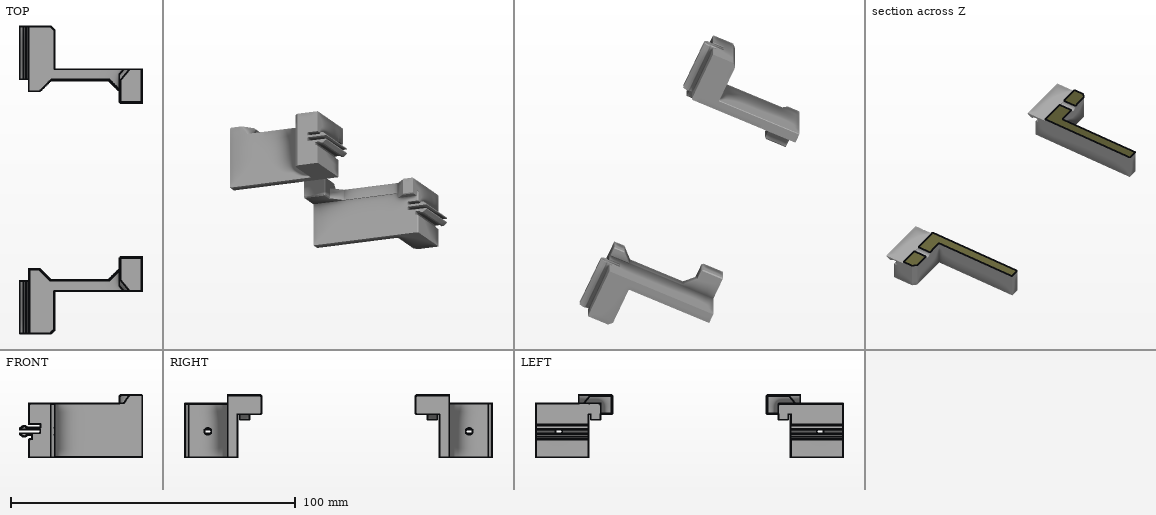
import cadquery as cq


SPAN = 107.9
ARM_END = 39.9
BLOCK_TOP = 19.0
HOOK_TOP = 22.0

BLOCK_DEPTH = 9.1
BLOCK_WIDTH = 18.6
BACK_CORNER = 1.3
WEB_OUTER = 15.0

PLATE_BOTTOM = 15.1
PLATE_INNER = 19.0
PLATE_EDGE = 0.4
GUSSET_SIZE = 3.8
LIP_INNER = 22.8
LIP_FLAT = 3.9
LIP_BOTTOM = 13.2
LIP_GAP = 0.6

HOOK_START = 31.8
HOOK_INNER = 27.0
HOOK_CHAMFER = 0.5
HOOK_EDGE = 0.4
CORNER_LEG_X = 3.6
CORNER_LEG_Y = 4.3
CORNER_SHRINK = 0.42

TONGUE_MID = 9.2
TONGUE_REACH = 3.2
SLOT_DEPTH = 4.0
SLOT_HEIGHT = 1.3
SLOT_FILLET = 0.2
PRONG_THICKNESS = 0.8
TIP_THICKNESS = 0.3
BARB_HEIGHT = 0.5
BARB_RAMP = 1.3
BARB_CREST = 0.8
UPPER_GAP_TOP = 11.7
LOWER_GAP_BOTTOM = 6.6
LOWER_GAP_DEPTH = 1.1
LOWER_GAP_CHAMFER = 0.3

HOLE_OFFSET = 8.1
HOLE_DIAMETER = 2.4

BLOCK_EDGE = 0.3
END_EDGE = 0.2

SLOT_LOW = TONGUE_MID - SLOT_HEIGHT / 2
SLOT_HIGH = TONGUE_MID + SLOT_HEIGHT / 2
FLANK_RUN = LIP_INNER - PLATE_INNER
MARGIN = 0.05


def slab(outline, z_low, z_high):
    """Upright prism on an XY outline."""
    return cq.Workplane("XY", origin=(0, 0, z_low)).polyline(outline).close().extrude(z_high - z_low)


def cuboid(x_low, x_high, y_low, y_high, z_low, z_high):
    outline = [(x_low, y_low), (x_high, y_low), (x_high, y_high), (x_low, y_high)]
    return slab(outline, z_low, z_high)


def bar_across_block(profile):
    """Prism on an XZ profile, running along the whole width of the block."""
    return cq.Workplane("XZ").polyline(profile).close().extrude(-BLOCK_WIDTH)


def chamfer_near(body, points, size):
    """Chamfer the edge nearest to each point."""
    edges = [body.edges(cq.selectors.NearestToPointSelector(point)).val() for point in points]
    return body.newObject(edges).chamfer(size)


def make_block_and_web():
    block = cuboid(0, BLOCK_DEPTH, 0, BLOCK_WIDTH, 0, BLOCK_TOP)
    block = chamfer_near(block, [(BLOCK_DEPTH, 0, BLOCK_TOP / 2)], BACK_CORNER)
    web = cuboid(0, ARM_END, WEB_OUTER, BLOCK_WIDTH, 0, BLOCK_TOP)
    return block.union(web)


def make_plate():
    gusset_start = HOOK_START - GUSSET_SIZE
    gusset_inner = PLATE_INNER + GUSSET_SIZE
    plate = slab(
        [
            (0, WEB_OUTER),
            (0, LIP_INNER),
            (LIP_FLAT, LIP_INNER),
            (LIP_FLAT + FLANK_RUN, PLATE_INNER),
            (gusset_start, PLATE_INNER),
            (HOOK_START, gusset_inner),
            (ARM_END, gusset_inner),
            (ARM_END, WEB_OUTER),
        ],
        PLATE_BOTTOM,
        BLOCK_TOP,
    )
    web_edge = ((LIP_FLAT + FLANK_RUN + gusset_start) / 2, PLATE_INNER, BLOCK_TOP)
    gusset_edge = (HOOK_START - GUSSET_SIZE / 2, PLATE_INNER + GUSSET_SIZE / 2, BLOCK_TOP)
    return chamfer_near(plate, [web_edge, gusset_edge], PLATE_EDGE)


def make_lip():
    """Part of the lip that hangs below the plate."""
    lip_outer = BLOCK_WIDTH + LIP_GAP
    flank_end = LIP_FLAT + LIP_INNER - lip_outer
    outline = [(0, lip_outer), (0, LIP_INNER), (LIP_FLAT, LIP_INNER), (flank_end, lip_outer)]
    lip = slab(outline, LIP_BOTTOM, PLATE_BOTTOM)
    return lip.faces("<Z").edges("<Y or >Y").chamfer(BLOCK_EDGE)


def corner_triangle(z, share):
    corner = cq.Vector(HOOK_START, WEB_OUTER, z)
    along_x = corner + cq.Vector(CORNER_LEG_X * share, 0, 0)
    along_y = corner + cq.Vector(0, CORNER_LEG_Y * share, 0)
    return cq.Wire.makePolygon([corner, along_x, along_y], close=True)


def make_hook():
    hook = cuboid(HOOK_START, ARM_END, WEB_OUTER, HOOK_INNER, PLATE_BOTTOM, HOOK_TOP)
    hook = hook.edges("(>X and >Z) or (<X and <Z) or (>Y and <Z)").chamfer(HOOK_EDGE)
    hook = hook.edges("(>Y and >Z and |X) or (>Y and <X) or (<X and >Z)").chamfer(HOOK_CHAMFER)
    base = corner_triangle(BLOCK_TOP, CORNER_SHRINK)
    top = corner_triangle(HOOK_TOP, 1)
    return hook.cut(cq.Workplane(cq.Solid.makeLoft([base, top], True)))


def make_slot():
    slot = cuboid(-TONGUE_REACH, SLOT_DEPTH, 0, BLOCK_WIDTH, SLOT_LOW, SLOT_HIGH)
    return slot.edges("|Y and >X").fillet(SLOT_FILLET)


def make_upper_gap():
    gap = cuboid(0, SLOT_DEPTH, 0, BLOCK_WIDTH, SLOT_HIGH + PRONG_THICKNESS, UPPER_GAP_TOP)
    return gap.edges("|Y and >X").fillet(SLOT_FILLET)


def make_lower_gap():
    """Gap below the lower prong, with a chamfered mouth."""
    gap_top = SLOT_LOW - PRONG_THICKNESS
    return bar_across_block(
        [
            (0, gap_top),
            (LOWER_GAP_DEPTH, gap_top),
            (LOWER_GAP_DEPTH, LOWER_GAP_BOTTOM),
            (LOWER_GAP_CHAMFER, LOWER_GAP_BOTTOM),
            (0, LOWER_GAP_BOTTOM - LOWER_GAP_CHAMFER),
        ]
    )


def make_prong(side):
    """Barbed prong in front of the block: side is 1 above the slot and -1 below it."""
    inner = SLOT_HEIGHT / 2
    outer = inner + PRONG_THICKNESS
    crest = outer + BARB_HEIGHT
    crest_start = -TONGUE_REACH + BARB_RAMP
    crest_end = crest_start + BARB_CREST
    profile = [
        (0, inner),
        (-TONGUE_REACH, inner),
        (-TONGUE_REACH, inner + TIP_THICKNESS),
        (crest_start, crest),
        (crest_end, crest),
        (crest_end + BARB_HEIGHT, outer),
        (0, outer),
    ]
    return bar_across_block([(x, TONGUE_MID + side * height) for x, height in profile])


def make_screw_hole():
    start = SLOT_DEPTH - SLOT_FILLET
    hole = cq.Workplane("YZ", origin=(start, HOLE_OFFSET, TONGUE_MID)).circle(HOLE_DIAMETER / 2)
    return hole.extrude(BLOCK_DEPTH - start)


def soften_block(body):
    """Chamfer the top outline of the block, its front inner corner and the web's bottom outer edge."""
    top_edges = [
        (0, LIP_INNER / 2, BLOCK_TOP),
        (LIP_FLAT / 2, LIP_INNER, BLOCK_TOP),
        (LIP_FLAT + FLANK_RUN / 2, LIP_INNER - FLANK_RUN / 2, BLOCK_TOP),
        (BLOCK_DEPTH, (BACK_CORNER + WEB_OUTER) / 2, BLOCK_TOP),
        (BLOCK_DEPTH - BACK_CORNER / 2, BACK_CORNER / 2, BLOCK_TOP),
    ]
    body = chamfer_near(body, top_edges, BLOCK_EDGE)
    body = chamfer_near(body, [(0, BLOCK_WIDTH, PLATE_BOTTOM / 2)], BLOCK_EDGE)
    return chamfer_near(body, [((BLOCK_DEPTH + ARM_END) / 2, WEB_OUTER, 0)], END_EDGE)


def soften_outer_end(body):
    """Chamfer the outer end of the block and prongs, but not the slot, base or back edges."""
    x_low = -TONGUE_REACH - MARGIN
    x_high = BLOCK_DEPTH / 2
    above_slot = cq.selectors.BoxSelector(
        (x_low, -MARGIN, SLOT_HIGH + MARGIN), (x_high, MARGIN, BLOCK_TOP + MARGIN)
    )
    below_slot = cq.selectors.BoxSelector(
        (x_low, -MARGIN, MARGIN), (x_high, MARGIN, SLOT_LOW - MARGIN)
    )
    return body.edges(above_slot + below_slot).chamfer(END_EDGE)


def make_arm(softened):
    arm = make_block_and_web().union(make_plate()).union(make_lip())
    if softened:
        arm = soften_block(arm)
    arm = arm.union(make_hook())
    for recess in (make_upper_gap(), make_lower_gap()):
        arm = arm.cut(recess)
    for side in (1, -1):
        arm = arm.union(make_prong(side))
    arm = arm.cut(make_slot()).cut(make_screw_hole())
    if softened:
        arm = soften_outer_end(arm)
    return arm.translate((0, -SPAN / 2, 0))


front_arm = make_arm(softened=True)
rear_arm = make_arm(softened=False).mirror("XZ")

result = cq.Compound.makeCompound([front_arm.val(), rear_arm.val()])